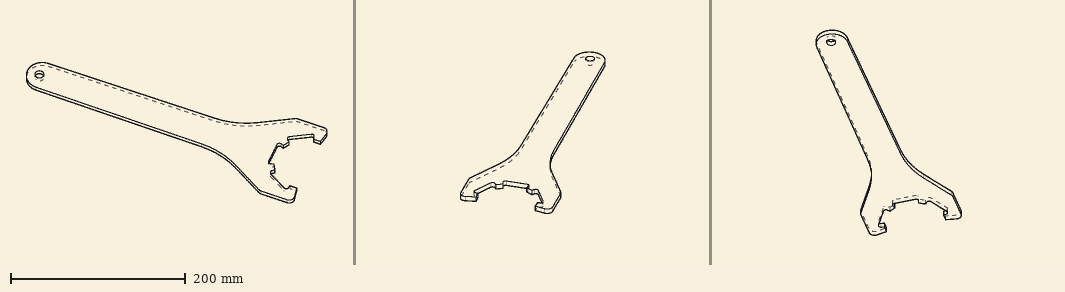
import cadquery as cq
import math

length = 350.0
head_width = 110.0
thickness = 6.0

end_radius = 18.2
neck_half_width = 19.5
neck_x = 223.0
hole_x = 14.7
hole_diameter = 10.0

flare_radius = 96.0
flare_angle = math.radians(30)
corner_radius = 6.3
shoulder_radius = 6.0

opening_x = 343.5
hex_apothem = 40.0
tooth_tip_distance = 35.5
tooth_tip_half_width = 4.2
root_fillet = 2.8
hex_corner_angle = math.radians(60)
tooth_angles = [math.radians(90), math.radians(150)]

half_width = head_width / 2

corner_center = (length - corner_radius, half_width - corner_radius)
tip_to_center_x = corner_center[0] - (opening_x + tooth_tip_half_width)
tip_to_center_y = corner_center[1] - tooth_tip_distance
center_distance = math.hypot(tip_to_center_x, tip_to_center_y)
tooth_taper = math.asin(corner_radius / center_distance) + math.atan2(tip_to_center_x, tip_to_center_y)


def opening_point(angle, distance, offset):
    """Point at a distance along a tooth axis and an offset counterclockwise across it."""
    x = opening_x + distance * math.cos(angle) - offset * math.sin(angle)
    y = distance * math.sin(angle) + offset * math.cos(angle)
    return (x, y)


def corner_point(angle):
    """Point on the rounded head corner."""
    x = corner_center[0] + corner_radius * math.cos(angle)
    y = corner_center[1] + corner_radius * math.sin(angle)
    return (x, y)


def mirrored(point):
    return (point[0], -point[1])


half_corner = hex_corner_angle / 2
flank_slope = math.tan(tooth_taper)
tip_reach = tooth_tip_distance * math.cos(half_corner) + tooth_tip_half_width * math.sin(half_corner)
tooth_height = (hex_apothem - tip_reach) / (math.cos(half_corner) + flank_slope * math.sin(half_corner))
root_distance = tooth_tip_distance + tooth_height
root_half_width = tooth_tip_half_width + tooth_height * flank_slope

end_tooth, inner_tooth = tooth_angles
tooth_tip = opening_point(end_tooth, tooth_tip_distance, -tooth_tip_half_width)
root_points = [
    opening_point(end_tooth, root_distance, root_half_width),
    opening_point(inner_tooth, root_distance, -root_half_width),
    opening_point(inner_tooth, root_distance, root_half_width),
]
opening_half = [
    opening_point(end_tooth, tooth_tip_distance, tooth_tip_half_width),
    root_points[0],
    root_points[1],
    opening_point(inner_tooth, tooth_tip_distance, -tooth_tip_half_width),
    opening_point(inner_tooth, tooth_tip_distance, tooth_tip_half_width),
    root_points[2],
]


def flare_point(angle):
    """Point on the flare arc where its slope has reached the given angle."""
    x = neck_x + flare_radius * math.sin(angle)
    y = neck_half_width + flare_radius * (1 - math.cos(angle))
    return (x, y)


flare_middle = flare_point(flare_angle / 2)
flare_end = flare_point(flare_angle)
shoulder = (flare_end[0] + (half_width - flare_end[1]) / math.tan(flare_angle), half_width)
handle_start = (end_radius, end_radius)
neck = (neck_x, neck_half_width)
corner_start = corner_point(math.pi / 2)
corner_middle = corner_point((math.pi / 2 - tooth_taper) / 2)
corner_end = corner_point(-tooth_taper)


def spanner_blank():
    """Flat plate with the complete outline, symmetric about the X axis."""
    outline = (
        cq.Workplane("XY")
        .moveTo(*mirrored(handle_start))
        .threePointArc((0, 0), handle_start)
        .lineTo(*neck)
        .threePointArc(flare_middle, flare_end)
        .lineTo(*shoulder)
        .lineTo(*corner_start)
        .threePointArc(corner_middle, corner_end)
        .lineTo(*tooth_tip)
    )
    for point in opening_half:
        outline = outline.lineTo(*point)
    for point in reversed(opening_half):
        outline = outline.lineTo(*mirrored(point))
    outline = (
        outline.lineTo(*mirrored(tooth_tip))
        .lineTo(*mirrored(corner_end))
        .threePointArc(mirrored(corner_middle), mirrored(corner_start))
        .lineTo(*mirrored(shoulder))
        .lineTo(*mirrored(flare_end))
        .threePointArc(mirrored(flare_middle), mirrored(neck))
        .close()
    )
    return outline.extrude(thickness)


def round_corners(plate, points, radius):
    """Fillet the upright edges at the given outline points and at their mirror images."""
    for point in points:
        for x, y in (point, mirrored(point)):
            corner_edge = cq.selectors.NearestToPointSelector((x, y, thickness / 2))
            plate = plate.edges("|Z").edges(corner_edge).fillet(radius)
    return plate


def drill_hanging_hole(plate):
    hole = cq.Workplane("XY").center(hole_x, 0).circle(hole_diameter / 2).extrude(thickness)
    return plate.cut(hole)


plate = spanner_blank()
plate = round_corners(plate, root_points, root_fillet)
plate = round_corners(plate, [shoulder], shoulder_radius)
result = drill_hanging_hole(plate)